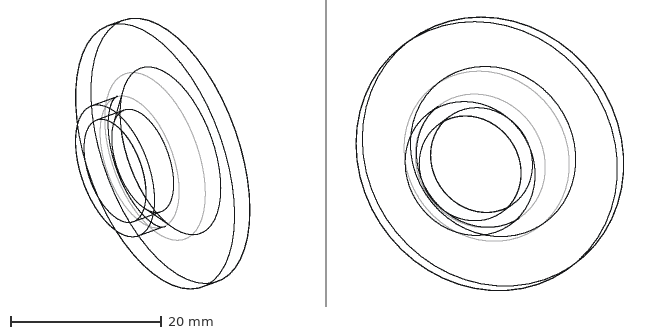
import cadquery as cq

flange_diameter = 37.0
flange_thickness = 2.5
hub_diameter = 18.4
bore_diameter = 14.4
overall_length = 9.0
blend_radius = 2.5
countersink_depth = 4.5

flange_radius = flange_diameter / 2
hub_radius = hub_diameter / 2
bore_radius = bore_diameter / 2
countersink_radius = bore_radius + countersink_depth

flange_back = 0.0
flange_face = flange_back - flange_thickness
blend_end = flange_face - blend_radius
countersink_end = flange_back - countersink_depth
hub_end = flange_back - overall_length


def wall_profile():
    """Half section of the flanged sleeve, with X as the radius and Y along the axis."""
    return (
        cq.Workplane("XY")
        .moveTo(bore_radius, hub_end)
        .lineTo(hub_radius, hub_end)
        .lineTo(hub_radius, blend_end)
        .radiusArc((hub_radius + blend_radius, flange_face), blend_radius)
        .lineTo(flange_radius, flange_face)
        .lineTo(flange_radius, flange_back)
        .lineTo(countersink_radius, flange_back)
        .lineTo(bore_radius, countersink_end)
        .close()
    )


result = wall_profile().revolve(360, (0, 0, 0), (0, 1, 0))